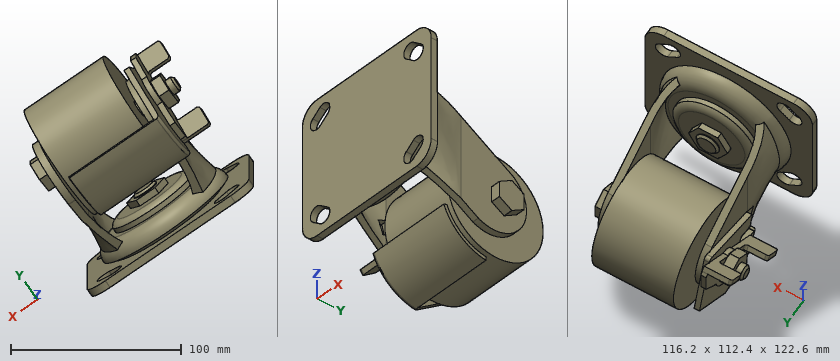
import cadquery as cq
import math


PLATE_WIDTH = 115.0
PLATE_HEIGHT = 100.0
PLATE_THICKNESS = 4.9
PLATE_CORNER_RADIUS = 13.0
SLOT_WIDTH = 10.8
SLOT_CENTRE_SPACING = 8.0
SLOT_X = 41.7
SLOT_Z = 36.0
SLOT_ANGLE = 36.6

HOUSING_BASE_RADIUS = 38.4
HOUSING_RIM_RADIUS = 44.3
HOUSING_RIM_Y = 7.2
HOUSING_ROUND = 10.5
HUB_RADIUS = 28.5
HUB_CROWN_Y = 21.0
HUB_TOP_RADIUS = 22.8
HUB_TOP_Y = 23.9
KING_NUT_DIAMETER = 26.7
KING_NUT_TOP_Y = 28.0
STUD_RADIUS = 8.0
STUD_CHAMFER = 1.5
STUD_TOP_Y = 29.9

AXLE_Y = 75.4
AXLE_Z = -32.9
WHEEL_RADIUS = 37.0
WHEEL_WIDTH = 56.2
AXLE_RADIUS = 5.0
AXLE_CHAMFER = 1.5
AXLE_END_X = 55.4
AXLE_HEX_DIAMETER = 22.2
AXLE_HEX_THICKNESS = 6.9
HEAD_TURN = 90.0
NUT_TURN = 95.0

ARM_INNER_X = 30.9
ARM_THICKNESS = 4.9
ARM_OUTER_X = ARM_INNER_X + ARM_THICKNESS
ARM_RAKE = 30.8
ARM_WIDTH = 51.7
ARM_NOSE_RISE = 23.8
ARM_NOSE_Y = 68.7
ARM_NOSE_Z = -33.3
ARM_BEND_Y = 41.9
ARM_FOOT_Y = 11.0
ARM_FOOT_RADIUS = 41.7
ARM_FOOT_HALF_ANGLE = 57.0
ARM_SHEET_TOP_Z = 36.8
ARM_SHEET_BOTTOM_Z = -61.3
ARM_LENGTH = 85.8

WINDOW_LENGTH = 6.5
WINDOW_HEIGHT = 10.0
WINDOW_Y = 41.1
WINDOW_Z = -31.4
WINDOW_TILT = 17.3

BRAKE_SHEET = 3.7
BRAKE_OUTER_X = ARM_OUTER_X + BRAKE_SHEET
SHOE_OUTER_RADIUS = 40.0
SHOE_THICKNESS = 2.6
SHOE_START_ANGLE = 201.5
SHOE_END_ANGLE = 263.5
SHOE_END_X = 24.8
SHOE_BEND_RADIUS = 2.0
BRAKE_CORNER_RADIUS = 2.5
FINGER_CORNER_RADIUS = 0.7

PEDAL_OUTER_X = BRAKE_OUTER_X + BRAKE_SHEET
PEDAL_TIP_X = 58.7
PEDAL_ANGLE = 35.3
PEDAL_OFFSET = 7.7
PEDAL_HALF_SPAN = 31.6
PEDAL_NOTCH_HALF_SPAN = 18.4
PEDAL_CORNER_RADIUS = 1.7
PEDAL_LOBE_RADIUS = 14.1
PEDAL_LOBE_START = 346.5
PEDAL_LOBE_END = 261.0
PEDAL_COLLAR_RADIUS = 9.5


def side_plane(x):
    """Sketch plane at the given X, with local axes along Y and Z."""
    return cq.Workplane("YZ", origin=(x, 0, 0))


def axle_plane(x):
    """Sketch plane at the given X, centred on the axle."""
    return cq.Workplane("YZ", origin=(x, AXLE_Y, AXLE_Z))


def around_axle(radius, angle):
    """Point (Y, Z) at a radius and angle, in degrees, from the axle."""
    turn = math.radians(angle)
    return AXLE_Y + radius * math.cos(turn), AXLE_Z + radius * math.sin(turn)


def hexagon_prism(plane, diameter, turn, length):
    """Hexagon of the given corner-to-corner diameter, turned in its plane and extruded."""
    return plane.transformed(rotate=(0, 0, turn)).polygon(6, diameter).extrude(length)


def mounting_plate():
    plate = (
        cq.Workplane("XZ")
        .rect(PLATE_WIDTH, PLATE_HEIGHT)
        .extrude(-PLATE_THICKNESS)
        .edges("|Y")
        .fillet(PLATE_CORNER_RADIUS)
    )
    for side_x in (-1, 1):
        for side_z in (-1, 1):
            slot = (
                cq.Workplane("XZ")
                .center(side_x * SLOT_X, side_z * SLOT_Z)
                .slot2D(SLOT_CENTRE_SPACING + SLOT_WIDTH, SLOT_WIDTH, -side_x * side_z * SLOT_ANGLE)
                .extrude(-PLATE_THICKNESS)
            )
            plate = plate.cut(slot)
    return plate


def swivel_housing():
    round_centre = HOUSING_RIM_RADIUS - HOUSING_ROUND
    round_mid = HOUSING_ROUND * math.sqrt(0.5)
    round_top_y = HOUSING_RIM_Y + HOUSING_ROUND
    body = (
        cq.Workplane("XY")
        .moveTo(0, PLATE_THICKNESS)
        .lineTo(HOUSING_BASE_RADIUS, PLATE_THICKNESS)
        .lineTo(HOUSING_RIM_RADIUS, HOUSING_RIM_Y)
        .threePointArc(
            (round_centre + round_mid, HOUSING_RIM_Y + round_mid),
            (round_centre, round_top_y),
        )
        .lineTo(HUB_RADIUS, round_top_y)
        .lineTo(HUB_RADIUS, HUB_CROWN_Y)
        .lineTo(0, HUB_CROWN_Y)
        .close()
        .revolve(360, (0, 0, 0), (0, 1, 0))
    )
    crown = (
        cq.Workplane("XY")
        .moveTo(0, HUB_CROWN_Y)
        .lineTo(0, HUB_TOP_Y)
        .lineTo(HUB_TOP_RADIUS, HUB_TOP_Y)
        .tangentArcPoint((HUB_RADIUS, HUB_CROWN_Y), relative=False)
        .close()
        .revolve(360, (0, 0, 0), (0, 1, 0))
    )
    nut = hexagon_prism(
        cq.Workplane("XZ", origin=(0, HUB_TOP_Y, 0)), KING_NUT_DIAMETER, 0, HUB_TOP_Y - KING_NUT_TOP_Y
    )
    stud = (
        cq.Workplane("XZ", origin=(0, HUB_TOP_Y, 0))
        .circle(STUD_RADIUS)
        .extrude(HUB_TOP_Y - STUD_TOP_Y)
        .faces(">Y")
        .chamfer(STUD_CHAMFER)
    )
    return body.union(crown).union(nut).union(stud)


def wheel_and_axle():
    wheel = axle_plane(-WHEEL_WIDTH / 2).circle(WHEEL_RADIUS).extrude(WHEEL_WIDTH)
    axle = (
        axle_plane(-AXLE_END_X)
        .circle(AXLE_RADIUS)
        .extrude(ARM_OUTER_X + AXLE_END_X)
        .faces("<X")
        .chamfer(AXLE_CHAMFER)
    )
    head = hexagon_prism(axle_plane(ARM_OUTER_X), AXLE_HEX_DIAMETER, HEAD_TURN, AXLE_HEX_THICKNESS)
    nut = hexagon_prism(axle_plane(-PEDAL_OUTER_X), AXLE_HEX_DIAMETER, NUT_TURN, -AXLE_HEX_THICKNESS)
    return wheel.union(axle).union(head).union(nut)


def flared_foot():
    """Ruled transition of the +X arm, from flat sheet at the bend to an arc round the housing."""
    inner_radius = ARM_FOOT_RADIUS - ARM_THICKNESS
    half_angle = math.radians(ARM_FOOT_HALF_ANGLE)
    cos_half = math.cos(half_angle)
    sin_half = math.sin(half_angle)
    flat = cq.Wire.makePolygon(
        [
            cq.Vector(ARM_OUTER_X, ARM_BEND_Y, ARM_SHEET_BOTTOM_Z),
            cq.Vector(ARM_OUTER_X, ARM_BEND_Y, ARM_SHEET_TOP_Z),
            cq.Vector(ARM_INNER_X, ARM_BEND_Y, ARM_SHEET_TOP_Z),
            cq.Vector(ARM_INNER_X, ARM_BEND_Y, ARM_SHEET_BOTTOM_Z),
        ],
        close=True,
    )

    def foot_point(radius, side):
        return cq.Vector(radius * cos_half, ARM_FOOT_Y, side * radius * sin_half)

    def foot_arc(radius, side):
        middle = cq.Vector(radius, ARM_FOOT_Y, 0)
        return cq.Edge.makeThreePointArc(foot_point(radius, side), middle, foot_point(radius, -side))

    curved = cq.Wire.assembleEdges(
        [
            foot_arc(ARM_FOOT_RADIUS, -1),
            cq.Edge.makeLine(foot_point(ARM_FOOT_RADIUS, 1), foot_point(inner_radius, 1)),
            foot_arc(inner_radius, 1),
            cq.Edge.makeLine(foot_point(inner_radius, -1), foot_point(ARM_FOOT_RADIUS, -1)),
        ]
    )
    return cq.Workplane(obj=cq.Solid.makeLoft([flat, curved], True))


def fork_arm():
    """The +X fork arm: raked side outline with a rounded nose."""
    half_width = ARM_WIDTH / 2
    outline = (
        side_plane(0)
        .center(ARM_NOSE_Y, ARM_NOSE_Z)
        .transformed(rotate=(0, 0, -ARM_RAKE))
        .moveTo(-ARM_LENGTH, half_width)
        .lineTo(0, half_width)
        .threePointArc((ARM_NOSE_RISE, 0), (0, -half_width))
        .lineTo(-ARM_LENGTH, -half_width)
        .close()
        .extrude(2 * ARM_FOOT_RADIUS)
    )
    flat_length = ARM_NOSE_Y + ARM_WIDTH - ARM_BEND_Y
    sheet = cq.Workplane("XY").box(
        ARM_THICKNESS, flat_length, ARM_SHEET_TOP_Z - ARM_SHEET_BOTTOM_Z, centered=False
    )
    sheet = sheet.translate((ARM_INNER_X, ARM_BEND_Y, ARM_SHEET_BOTTOM_Z))
    return sheet.union(flared_foot()).intersect(outline)


def fork():
    """Both arms; only the -X arm has the window."""
    arm = fork_arm()
    window = (
        side_plane(0)
        .center(WINDOW_Y, WINDOW_Z)
        .transformed(rotate=(0, 0, WINDOW_TILT))
        .rect(WINDOW_LENGTH, WINDOW_HEIGHT)
        .extrude(-2 * ARM_FOOT_RADIUS)
    )
    return arm.union(arm.mirror("YZ").cut(window))


def round_corners(sheet, corners, radius):
    """Round the sheet edges that run along X through the given (Y, Z) corners."""
    for y, z in corners:
        edge = cq.NearestToPointSelector((-BRAKE_OUTER_X + BRAKE_SHEET / 2, y, z))
        sheet = sheet.edges("|X").edges(edge).fillet(radius)
    return sheet


def brake_plate():
    """Side plate with a finger pointing at the housing and a curved shoe under the wheel."""
    shoe_mid_angle = (SHOE_START_ANGLE + SHOE_END_ANGLE) / 2
    shoe_start = around_axle(SHOE_OUTER_RADIUS, SHOE_START_ANGLE)
    shoe_mid = around_axle(SHOE_OUTER_RADIUS, shoe_mid_angle)
    shoe_end = around_axle(SHOE_OUTER_RADIUS, SHOE_END_ANGLE)
    shoe_inner_radius = SHOE_OUTER_RADIUS - SHOE_THICKNESS

    rear_corner = (102.0, -51.2)
    top_corner = (90.1, -10.2)
    finger_top = (42.8, -25.0)
    finger_bottom = (45.0, -35.7)
    notch_top = (55.4, -32.9)
    notch_bottom = (58.4, -41.8)
    sheet = (
        side_plane(-BRAKE_OUTER_X)
        .moveTo(*shoe_start)
        .threePointArc(shoe_mid, shoe_end)
        .lineTo(*rear_corner)
        .lineTo(*top_corner)
        .lineTo(*finger_top)
        .lineTo(*finger_bottom)
        .lineTo(*notch_top)
        .lineTo(*notch_bottom)
        .close()
        .extrude(BRAKE_SHEET)
    )
    sheet = round_corners(sheet, [top_corner, notch_top, notch_bottom], BRAKE_CORNER_RADIUS)
    sheet = round_corners(sheet, [finger_top, finger_bottom], FINGER_CORNER_RADIUS)
    shoe = (
        side_plane(-BRAKE_OUTER_X)
        .moveTo(*shoe_start)
        .threePointArc(shoe_mid, shoe_end)
        .lineTo(*around_axle(shoe_inner_radius, SHOE_END_ANGLE))
        .threePointArc(
            around_axle(shoe_inner_radius, shoe_mid_angle),
            around_axle(shoe_inner_radius, SHOE_START_ANGLE),
        )
        .close()
        .extrude(BRAKE_OUTER_X + SHOE_END_X)
    )
    bend = cq.NearestToPointSelector((-BRAKE_OUTER_X, *shoe_mid))
    return sheet.union(shoe).edges(bend).fillet(SHOE_BEND_RADIUS)


def pedal_frame_point(along, across):
    """Point (Y, Z) at distances from the axle along and across the pedal tabs."""
    tilt = math.radians(PEDAL_ANGLE)
    return (
        AXLE_Y + along * math.cos(tilt) - across * math.sin(tilt),
        AXLE_Z + along * math.sin(tilt) + across * math.cos(tilt),
    )


def pedal_base():
    """Flat part of the pedal bracket, with a lobe below the axle and a collar behind the nut."""
    rear_top = (100.4, -13.2)
    rear_bottom = (100.4, -26.0)
    heel_bottom = (60.0, -53.6)
    heel_front = (49.0, -49.8)
    base = (
        side_plane(-PEDAL_OUTER_X)
        .moveTo(*pedal_frame_point(-PEDAL_HALF_SPAN, PEDAL_OFFSET))
        .lineTo(*pedal_frame_point(PEDAL_HALF_SPAN, PEDAL_OFFSET))
        .lineTo(*pedal_frame_point(PEDAL_HALF_SPAN, PEDAL_OFFSET - BRAKE_SHEET))
        .lineTo(*rear_top)
        .lineTo(*rear_bottom)
        .lineTo(*around_axle(PEDAL_LOBE_RADIUS, PEDAL_LOBE_START))
        .threePointArc(
            around_axle(PEDAL_LOBE_RADIUS, (PEDAL_LOBE_START + PEDAL_LOBE_END) / 2),
            around_axle(PEDAL_LOBE_RADIUS, PEDAL_LOBE_END),
        )
        .lineTo(*heel_bottom)
        .lineTo(*heel_front)
        .lineTo(*pedal_frame_point(-PEDAL_HALF_SPAN, PEDAL_OFFSET - BRAKE_SHEET))
        .close()
        .extrude(BRAKE_SHEET)
    )
    collar = axle_plane(-PEDAL_OUTER_X).circle(PEDAL_COLLAR_RADIUS).extrude(BRAKE_SHEET)
    return base.union(collar)


def pedal_tabs():
    """Strip along the base edge, notched in the middle to leave two tabs standing out along -X."""
    tilt = math.radians(PEDAL_ANGLE)
    edge_y, edge_z = pedal_frame_point(0, PEDAL_OFFSET)
    strip_plane = cq.Plane(
        origin=(-BRAKE_OUTER_X, edge_y, edge_z),
        xDir=(-1, 0, 0),
        normal=(0, math.sin(tilt), -math.cos(tilt)),
    )
    reach = PEDAL_TIP_X - BRAKE_OUTER_X
    strip = (
        cq.Workplane(strip_plane)
        .center(reach / 2, 0)
        .rect(reach, 2 * PEDAL_HALF_SPAN)
        .extrude(BRAKE_SHEET)
    )
    notch_depth = reach - BRAKE_SHEET
    notch = (
        cq.Workplane(strip_plane)
        .center(BRAKE_SHEET + notch_depth / 2, 0)
        .rect(notch_depth, 2 * PEDAL_NOTCH_HALF_SPAN)
        .extrude(BRAKE_SHEET)
    )
    across_strip = cq.ParallelDirSelector(strip_plane.zDir)
    notch = notch.faces(">X").edges(across_strip).fillet(PEDAL_CORNER_RADIUS)
    strip = strip.cut(notch)
    return strip.faces("<X").edges(across_strip).fillet(PEDAL_CORNER_RADIUS)


result = (
    mounting_plate()
    .union(swivel_housing())
    .union(wheel_and_axle())
    .union(fork())
    .union(brake_plate())
    .union(pedal_base())
    .union(pedal_tabs())
)